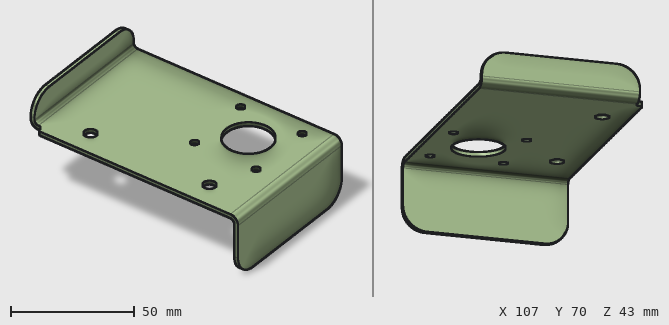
import cadquery as cq

length = 107.0
width = 70.0
height = 43.0
thickness = 2.0
bend_outer = 4.0
bend_inner = bend_outer - thickness
lip_height = 15.0
corner_radius = 10.0

plate_bottom = height - lip_height
plate_top = plate_bottom + thickness

notch_depth = 3.0
notch_start = 4.4
notch_radius = notch_depth / 2
notch_wall = notch_start + notch_radius
notch_end = notch_wall + notch_radius

motor_x = 77.0
motor_y = width - 23.0
motor_bore = 22.0
screw_spacing = 31.0
screw_diameter = 3.6

fixing_x = 24.0
fixing_spacing = 60.0
fixing_y = 11.5
fixing_diameter = 5.8


def bent_sheet():
    """Z-shaped sheet: lip up at the left, flange down at the right."""
    profile = (
        cq.Workplane("XZ")
        .moveTo(0, height)
        .lineTo(0, plate_bottom + bend_outer)
        .radiusArc((bend_outer, plate_bottom), -bend_outer)
        .lineTo(length - bend_outer, plate_bottom)
        .radiusArc((length - thickness, plate_top - bend_outer), bend_inner)
        .lineTo(length - thickness, 0)
        .lineTo(length, 0)
        .lineTo(length, plate_top - bend_outer)
        .radiusArc((length - bend_outer, plate_top), -bend_outer)
        .lineTo(bend_outer, plate_top)
        .radiusArc((thickness, plate_bottom + bend_outer), bend_inner)
        .lineTo(thickness, height)
        .close()
    )
    return profile.extrude(-width)


def relief_notch():
    """Cutter that shortens the lip and its bend, ending in an S-curve of two quarter rounds."""
    return (
        cq.Workplane("XY")
        .lineTo(notch_end, 0)
        .radiusArc((notch_wall, notch_radius), notch_radius)
        .radiusArc((notch_start, notch_depth), -notch_radius)
        .lineTo(0, notch_depth)
        .close()
        .extrude(height)
    )


def plate_holes(points, diameter):
    """Round cutters through the flat plate."""
    plane = cq.Workplane("XY").workplane(offset=plate_bottom)
    return plane.pushPoints(points).circle(diameter / 2).extrude(thickness)


half_spacing = screw_spacing / 2
screw_points = [
    (motor_x + side_x * half_spacing, motor_y + side_y * half_spacing)
    for side_x in (-1, 1)
    for side_y in (-1, 1)
]
fixing_points = [(fixing_x, fixing_y), (fixing_x + fixing_spacing, fixing_y)]

result = bent_sheet().cut(relief_notch())

result = result.faces(">Z").edges("|X").fillet(corner_radius)
result = result.faces("<Z").edges("|X").fillet(corner_radius)

result = result.cut(plate_holes([(motor_x, motor_y)], motor_bore))
result = result.cut(plate_holes(screw_points, screw_diameter))
result = result.cut(plate_holes(fixing_points, fixing_diameter))